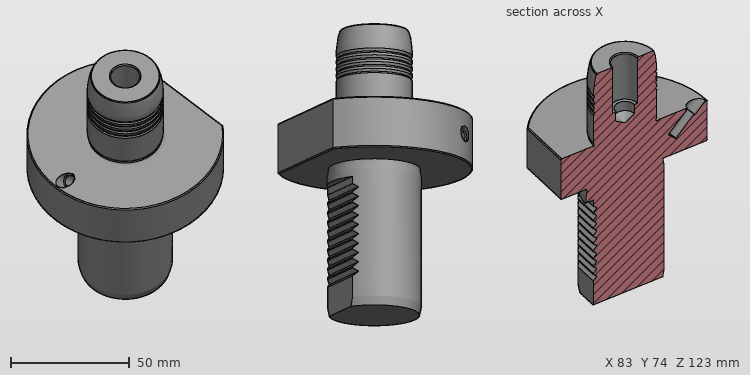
import cadquery as cq
import math

total_height = 123.0
shank_length = 63.2
flange_thickness = 21.9
flange_top = shank_length + flange_thickness

shank_radius = 39.9 / 2
shank_lead_height = 3.7
shank_lead_inset = 0.9
shank_neck_radius = 19.4
shank_neck_height = 1.2
shank_step_width = 0.1
shank_step_height = 0.7
shank_shoulder_height = 2.0

flat_y = 16.1
flat_top = shank_length - 7.3
tooth_pitch = 4.0
tooth_count = 10
tooth_depth = 1.7
tooth_half_width = 1.7
top_tooth_z = shank_length - 12.0

flange_diameter = 83.0
flange_depth_y = 74.0
flange_chamfer = 0.5
flange_flat_y = flange_depth_y - flange_diameter / 2

spindle_radius = 32.1 / 2
spindle_neck_radius = 15.7
spindle_neck_height = 1.4
spindle_neck_taper = 0.5
recess_radius = 17.3
recess_depth = 0.2
nose_height = 8.4
nose_radius = 14.6
nose_edge = 0.4

groove_count = 4
groove_pitch = 3.0
groove_depth = 0.5
groove_upper_flank = 1.1
groove_lower_flank = 0.7
first_groove_top = total_height - 11.0

bore_radius = 6.2
bore_depth = 24.6
bore_chamfer = 0.5
pilot_radius = 9.2 / 2
pilot_depth = 4.9
drill_half_angle = 59.0

port_diameter = 6.5
passage_diameter = 5.0
outlet_y = -35.9
outlet_port_depth = 4.3
outlet_tilt = 45.0
outlet_overrun = 2.7
side_hole_y = -27.0
side_hole_drop = 10.2
side_port_depth = 4.9


def make_shank():
    """Round shank with a lead-in at the bottom and a neck under the flange."""
    neck_bottom = shank_length - shank_neck_height
    step_bottom = neck_bottom - shank_step_height
    return (
        cq.Workplane("XZ")
        .moveTo(0, 0)
        .lineTo(shank_radius - shank_lead_inset, 0)
        .lineTo(shank_radius, shank_lead_height)
        .lineTo(shank_radius, step_bottom - shank_shoulder_height)
        .lineTo(shank_neck_radius + shank_step_width, step_bottom)
        .lineTo(shank_neck_radius, neck_bottom)
        .lineTo(shank_neck_radius, shank_length)
        .lineTo(0, shank_length)
        .close()
        .revolve(360, (0, 0), (0, 1))
    )


def make_tooth_cutter():
    """Flat along the shank with V grooves running across it."""
    cutter = (
        cq.Workplane("XY")
        .box(2 * shank_radius, shank_radius, flat_top, centered=(True, False, False))
        .translate((0, flat_y, 0))
    )
    for index in range(tooth_count):
        z = top_tooth_z - index * tooth_pitch
        groove = (
            cq.Workplane("YZ")
            .moveTo(flat_y, z - tooth_half_width)
            .lineTo(flat_y - tooth_depth, z)
            .lineTo(flat_y, z + tooth_half_width)
            .close()
            .extrude(shank_radius, both=True)
        )
        cutter = cutter.union(groove)
    return cutter


def make_flange():
    """Disc with one flat on the +Y side and chamfered rims."""
    disc = cq.Workplane("XY").circle(flange_diameter / 2).extrude(flange_thickness)
    beyond_flat = (
        cq.Workplane("XY")
        .box(flange_diameter, flange_diameter, flange_thickness, centered=(True, False, False))
        .translate((0, flange_flat_y, 0))
    )
    flange = disc.cut(beyond_flat).faces("<Z or >Z").edges().chamfer(flange_chamfer)
    return flange.translate((0, 0, shank_length))


def make_spindle():
    """Spindle with an undercut foot, four ring grooves and a rounded nose."""
    neck_top = flange_top + spindle_neck_height
    foot = flange_top - recess_depth
    nose_bottom = total_height - nose_height
    nose_rise = nose_height - nose_edge
    nose_inset = spindle_radius - nose_radius
    nose_arc_radius = (nose_rise**2 + nose_inset**2) / (2 * nose_inset)
    half_sweep = math.asin(nose_rise / nose_arc_radius) / 2
    arc_middle = (
        spindle_radius - nose_arc_radius * (1 - math.cos(half_sweep)),
        nose_bottom + nose_arc_radius * math.sin(half_sweep),
    )
    outline = (
        cq.Workplane("XZ")
        .moveTo(0, foot)
        .lineTo(spindle_neck_radius, foot)
        .lineTo(spindle_neck_radius, neck_top - spindle_neck_taper)
        .lineTo(spindle_radius, neck_top)
    )
    for index in reversed(range(groove_count)):
        top = first_groove_top - index * groove_pitch
        valley = top - groove_upper_flank
        outline = (
            outline.lineTo(spindle_radius, valley - groove_lower_flank)
            .lineTo(spindle_radius - groove_depth, valley)
            .lineTo(spindle_radius, top)
        )
    return (
        outline.lineTo(spindle_radius, nose_bottom)
        .threePointArc(arc_middle, (nose_radius, total_height - nose_edge))
        .lineTo(nose_radius - nose_edge, total_height)
        .lineTo(0, total_height)
        .close()
        .revolve(360, (0, 0), (0, 1))
    )


def make_recess():
    """Shallow ramped undercut in the flange face around the spindle foot."""
    floor = flange_top - recess_depth
    return (
        cq.Workplane("XZ")
        .moveTo(spindle_neck_radius, floor)
        .lineTo(spindle_radius, floor)
        .lineTo(recess_radius, flange_top)
        .lineTo(spindle_neck_radius, flange_top)
        .close()
        .revolve(360, (0, 0), (0, 1))
    )


def make_bore():
    """Chamfered blind bore with a smaller drilled pilot and drill point."""
    bore_floor = total_height - bore_depth
    pilot_floor = bore_floor - pilot_depth
    drill_tip = pilot_floor - pilot_radius / math.tan(math.radians(drill_half_angle))
    return (
        cq.Workplane("XZ")
        .moveTo(0, total_height)
        .lineTo(bore_radius + bore_chamfer, total_height)
        .lineTo(bore_radius, total_height - bore_chamfer)
        .lineTo(bore_radius, bore_floor)
        .lineTo(pilot_radius, bore_floor)
        .lineTo(pilot_radius, pilot_floor)
        .lineTo(0, drill_tip)
        .close()
        .revolve(360, (0, 0), (0, 1))
    )


def make_cylinder(diameter, start, direction, length):
    """Solid cylinder from a start point along a direction."""
    solid = cq.Solid.makeCylinder(diameter / 2, length, cq.Vector(*start), cq.Vector(*direction))
    return cq.Workplane(solid)


def make_coolant_holes():
    """Side hole along X meeting an outlet that leans outward through the top face."""
    tilt = math.radians(outlet_tilt)
    inward = (0, math.sin(tilt), -math.cos(tilt))
    passage_length = side_hole_drop / math.cos(tilt) + outlet_overrun
    lead = port_diameter
    mouth = (0, outlet_y - lead * inward[1], flange_top - lead * inward[2])
    outlet_port = make_cylinder(port_diameter, mouth, inward, lead + outlet_port_depth)
    outlet_passage = make_cylinder(passage_diameter, mouth, inward, lead + passage_length)

    rim_x = -flange_diameter / 2
    side_mouth_x = -math.sqrt((flange_diameter / 2) ** 2 - side_hole_y**2)
    side_start = (rim_x, side_hole_y, flange_top - side_hole_drop)
    side_port = make_cylinder(port_diameter, side_start, (1, 0, 0), side_mouth_x - rim_x + side_port_depth)
    side_passage = make_cylinder(passage_diameter, side_start, (1, 0, 0), -rim_x)
    return outlet_port.union(outlet_passage).union(side_port).union(side_passage)


shank = make_shank().cut(make_tooth_cutter())
flange = make_flange().cut(make_recess())
body = shank.union(flange).union(make_spindle())
result = body.cut(make_bore()).cut(make_coolant_holes())